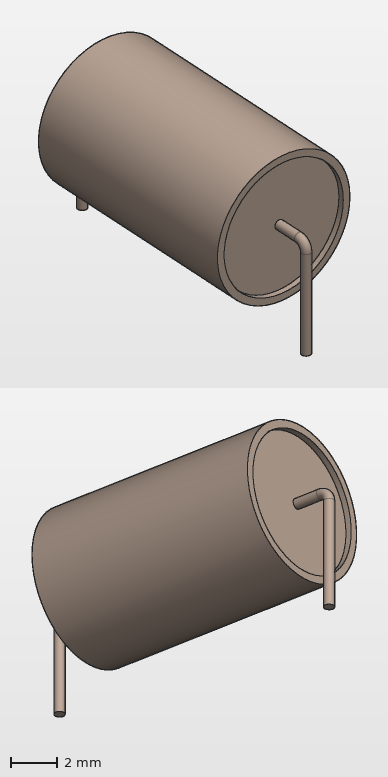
import cadquery as cq

body_length = 12.0
body_diameter = 7.5
recess_diameter = 6.75
recess_depth = 0.3

overall_length = 15.5
overall_height = 9.5
lead_diameter = 0.5
bend_radius = 0.5

lead_x = (overall_length - lead_diameter) / 2
lead_bottom_z = body_diameter / 2 - overall_height
recess_floor_x = body_length / 2 - recess_depth
lead_overlap = 0.15


def make_body():
    """Cylinder with a shallow round recess in each end face."""
    body = (
        cq.Workplane("YZ")
        .workplane(offset=-body_length / 2)
        .circle(body_diameter / 2)
        .extrude(body_length)
    )
    for side in (-1, 1):
        recess = (
            cq.Workplane("YZ")
            .workplane(offset=side * recess_floor_x)
            .circle(recess_diameter / 2)
            .extrude(side * recess_depth)
        )
        body = body.cut(recess)
    return body


def make_lead(side):
    """Round wire leaving the body along X and turning down; side is -1 or 1."""
    path = (
        cq.Workplane("XZ")
        .moveTo(side * (recess_floor_x - lead_overlap), 0)
        .lineTo(side * (lead_x - bend_radius), 0)
        .tangentArcPoint((side * lead_x, -bend_radius), relative=False)
        .lineTo(side * lead_x, lead_bottom_z)
    )
    return (
        cq.Workplane("YZ")
        .workplane(offset=side * (recess_floor_x - lead_overlap))
        .circle(lead_diameter / 2)
        .sweep(path)
    )


result = make_body()
for end_side in (-1, 1):
    result = result.union(make_lead(end_side))